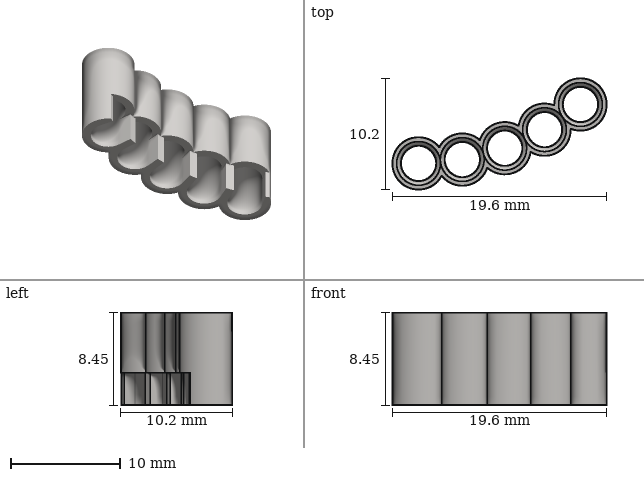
import cadquery as cq
import math

tube_count = 5
arc_radius = 23.0
pitch_angle = 10.0

outer_radius = 2.4
bore_radius = 1.6
total_height = 8.45
ring_height = 5.5
mouth_chamfer = 0.4

open_height = total_height - ring_height
trim_radius = 21.6


def place_on_arc(shape, index):
    """Move a shape modelled at the first tube to the given position along the arc."""
    return shape.rotate((0, arc_radius, 0), (0, arc_radius, 1), index * pitch_angle)


def make_void():
    """Through bore with a conical mouth at the top."""
    bore = cq.Workplane("XY").circle(bore_radius).extrude(total_height)
    mouth = (
        cq.Workplane("XY")
        .workplane(offset=total_height - mouth_chamfer)
        .circle(bore_radius)
        .workplane(offset=mouth_chamfer)
        .circle(bore_radius + mouth_chamfer)
        .loft()
    )
    return bore.union(mouth)


def make_slot():
    """Wedge with sides tangent to the bore that meet at the arc centre."""
    half_angle = math.asin(bore_radius / arc_radius)
    tangent_x = bore_radius * math.cos(half_angle)
    tangent_y = bore_radius * math.sin(half_angle)
    return (
        cq.Workplane("XY")
        .moveTo(-tangent_x, tangent_y)
        .lineTo(tangent_x, tangent_y)
        .lineTo(0, arc_radius)
        .close()
        .extrude(open_height)
    )


def make_trim():
    """Cylinder about the arc centre that shortens the open walls of every tube."""
    return cq.Workplane("XY").center(0, arc_radius).circle(trim_radius).extrude(open_height)


tube = cq.Workplane("XY").circle(outer_radius).extrude(total_height)
void = make_void().union(make_slot())

result = tube
for index in range(1, tube_count):
    result = result.union(place_on_arc(tube, index))
result = result.cut(make_trim())
for index in range(tube_count):
    result = result.cut(place_on_arc(void, index))